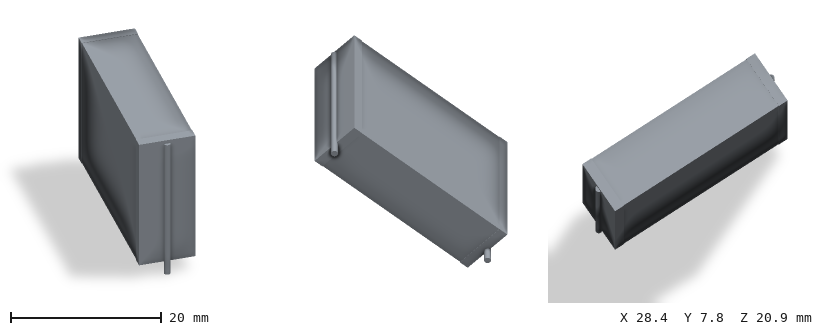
import cadquery as cq

overall_length = 28.4
overall_height = 20.9
cap_depth = 7.8

pin_diameter = 0.9
pin_radius = pin_diameter / 2
pin_drop = 1.9
pin_top_gap = 0.5

cap_thickness = 1.4
body_inset = 0.05

cap_span = overall_length - pin_diameter
cap_height = overall_height - pin_drop
body_length = cap_span - 2 * cap_thickness
body_depth = cap_depth - 2 * body_inset
body_height = cap_height - 2 * body_inset
pin_length = overall_height - pin_top_gap


def make_body():
    """Central block, with the caps' underside at Z = 0."""
    return cq.Workplane("XY").box(body_length, body_depth, body_height).translate((0, 0, cap_height / 2))


def make_cap(side):
    """End cap on the -X (side = -1) or +X (side = 1) end."""
    cap_center_x = side * (cap_span - cap_thickness) / 2
    cap = cq.Workplane("XY").box(cap_thickness, cap_depth, cap_height)
    return cap.translate((cap_center_x, 0, cap_height / 2))


def make_pin(side):
    """Vertical pin half sunk into the outer face of a cap."""
    pin = cq.Workplane("XY").circle(pin_radius).extrude(pin_length)
    return pin.translate((side * cap_span / 2, 0, -pin_drop))


result = make_body()
for side in (-1, 1):
    result = result.union(make_cap(side)).union(make_pin(side))